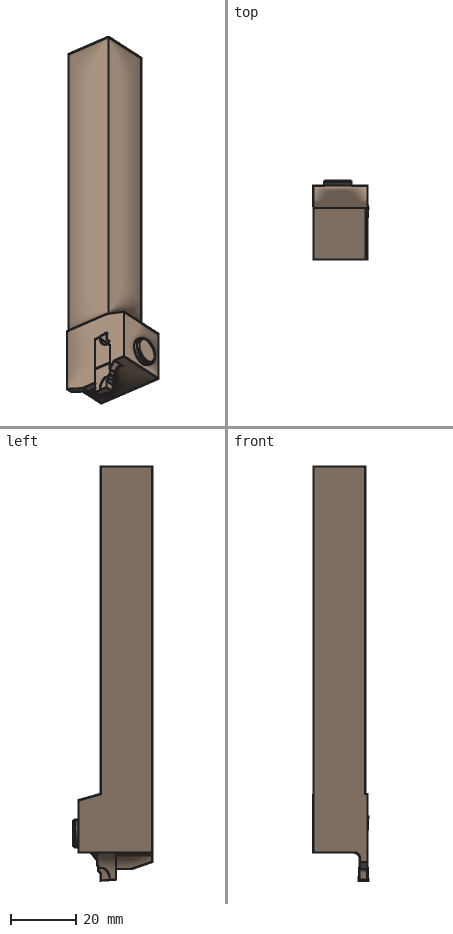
import cadquery as cq
import math

total_length = 127.0
shank_width = 16.0
shank_depth = 15.875
left_face_lean = 0.1

insert_length = 19.7
cutting_width = 3.0
cutting_right = 16.91
insert_mid_x = cutting_right - cutting_width / 2
insert_body_width = 2.3
insert_low_y = 11.1
insert_high_y = 16.9
end_relief_slope = math.tan(math.radians(4.0))
side_relief_slope = math.tan(math.radians(3.0))
rake_length = 2.3
rake_rise_end = 3.1
rake_shoulder_y = 16.6
rake_shoulder_end = 4.5
body_top_start = 4.7
lobe_length = 3.95
lobe_low_y = 13.1
lobe_flat_y = 15.2
lobe_bulge_y = 13.7
lobe_bulge_z = 2.7

head_right = 16.72
head_bottom = 8.6
head_top = 26.6
head_back_y = 22.65
head_ramp_drop = 1.9

blade_left = insert_mid_x - insert_body_width / 2
blade_bottom = 3.6
blade_front_bottom = 5.8
blade_slope_end_y = 6.3
blade_back_top_y = 18.8
blade_back_bottom = 6.3
blade_fillet = 1.7

screw_diameter = 8.5
screw_x = 7.55
screw_z = 14.5
screw_top_y = 24.27
screw_rim_chamfer = 0.5


def extrude_along_x(outline, left, right):
    """Extrude a closed YZ outline between two X positions."""
    return outline.close().extrude(right - left).translate((left, 0, 0))


def make_lobe():
    """Wide cutting lobe at the z = 0 end, narrowing upwards and away from the cutting edge."""
    outline = (
        cq.Workplane("YZ")
        .moveTo(shank_depth, 0)
        .lineTo(shank_depth, rake_length)
        .lineTo(rake_shoulder_y, rake_rise_end)
        .lineTo(rake_shoulder_y, lobe_length)
        .lineTo(lobe_flat_y, lobe_length)
        .threePointArc(
            (lobe_bulge_y, lobe_bulge_z),
            (lobe_low_y, (shank_depth - lobe_low_y) * end_relief_slope),
        )
    )
    lobe = extrude_along_x(outline, cutting_right - cutting_width, cutting_right)
    for side in (-1, 1):
        corner = (insert_mid_x + side * cutting_width / 2, shank_depth, 0)
        outward = (side, -side_relief_slope, side_relief_slope)
        relief_plane = cq.Plane(origin=corner, xDir=(0, 1, 1), normal=outward)
        waste = cq.Workplane(relief_plane).circle(insert_length).extrude(cutting_width)
        lobe = lobe.cut(waste)
    return lobe


def make_insert():
    """Narrow bar with a cutting lobe at each end, symmetric about its mid length."""
    half_length = insert_length / 2
    outline = (
        cq.Workplane("YZ")
        .moveTo(insert_low_y, half_length)
        .lineTo(insert_low_y, (shank_depth - insert_low_y) * end_relief_slope)
        .lineTo(shank_depth, 0)
        .lineTo(shank_depth, rake_length)
        .lineTo(rake_shoulder_y, rake_rise_end)
        .lineTo(rake_shoulder_y, rake_shoulder_end)
        .lineTo(insert_high_y, body_top_start)
        .lineTo(insert_high_y, half_length)
    )
    body = extrude_along_x(outline, blade_left, blade_left + insert_body_width)
    half = body.union(make_lobe())
    return half.union(half.mirror("XY", (0, 0, half_length)))


def make_shank():
    return (
        cq.Workplane("XY", origin=(0, 0, head_bottom))
        .rect(shank_width, shank_depth, centered=False)
        .extrude(total_length - head_bottom)
    )


def make_head():
    """Deeper and slightly wider block, with a sloped shoulder behind the shank."""
    outline = (
        cq.Workplane("YZ")
        .moveTo(0, head_bottom)
        .lineTo(head_back_y, head_bottom)
        .lineTo(head_back_y, head_top - head_ramp_drop)
        .lineTo(shank_depth, head_top)
        .lineTo(0, head_top)
    )
    return extrude_along_x(outline, 0, head_right)


def make_blade():
    """Thin blade with a concave fillet up to the underside of the head."""
    fillet_mid = blade_fillet * (1 - math.sqrt(0.5))
    section = (
        cq.Workplane("XZ")
        .moveTo(blade_left, 0)
        .lineTo(blade_left, head_bottom - blade_fillet)
        .threePointArc(
            (blade_left - fillet_mid, head_bottom - fillet_mid),
            (blade_left - blade_fillet, head_bottom),
        )
        .lineTo(head_right, head_bottom)
        .lineTo(head_right, 0)
        .close()
        .extrude(-head_back_y)
    )
    outline = (
        cq.Workplane("YZ")
        .moveTo(0, head_bottom)
        .lineTo(0, blade_front_bottom)
        .lineTo(blade_slope_end_y, blade_bottom)
        .lineTo(insert_low_y, blade_bottom)
        .lineTo(insert_low_y, blade_back_bottom)
        .lineTo(insert_high_y, blade_back_bottom)
        .lineTo(blade_back_top_y, head_bottom)
    )
    return section.intersect(extrude_along_x(outline, 0, head_right))


def make_insert_seat():
    """Clear the blade below the head on both sides of the insert."""
    outline = (
        cq.Workplane("YZ")
        .moveTo(insert_low_y, 0)
        .lineTo(insert_high_y, 0)
        .lineTo(insert_high_y, head_bottom)
        .lineTo(insert_low_y, head_bottom)
    )
    return extrude_along_x(outline, 0, head_right)


def make_left_lean():
    """Thin wedge to take off the left face, thickest at the front."""
    return (
        cq.Workplane("XY", origin=(0, 0, head_bottom))
        .polyline([(0, 0), (left_face_lean, 0), (0, head_back_y)])
        .close()
        .extrude(total_length - head_bottom)
    )


def make_screw_head():
    return (
        cq.Workplane("XZ", origin=(screw_x, head_back_y, screw_z))
        .circle(screw_diameter / 2)
        .extrude(head_back_y - screw_top_y)
        .faces(">Y")
        .chamfer(screw_rim_chamfer)
    )


insert = make_insert()
holder = (
    make_shank()
    .union(make_head())
    .cut(make_left_lean())
    .union(make_blade().cut(make_insert_seat()))
    .union(make_screw_head())
    .cut(insert)
)

result = cq.Compound.makeCompound([holder.solids().val(), insert.solids().val()])